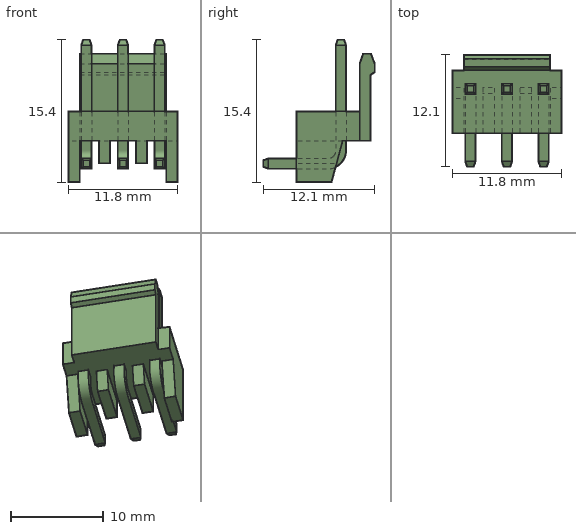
import cadquery as cq
import math


pin_count = 3
pin_pitch = 3.96
pin_size = 1.14
pin_y = 4.8
pin_z = 2.0
pin_top = 15.4
pin_reach = 3.62
bend_inner_radius = 0.86
tip_length = 0.59
tip_size = 0.71

housing_width = 11.83
housing_depth = 6.82
housing_top = 7.65
block_underside = 4.45
foot_top_depth = 4.99
foot_bottom_depth = 3.8

foot_width = 1.25
rib_width = 1.2
rib_pitch = 4.0
rib_bottom = 2.02
channel_width = housing_width - 2 * foot_width

latch_width = channel_width
latch_thickness = 1.2
latch_top = 13.9
nose_reach = 0.46
nose_top = 12.8
nose_bottom = 11.9
nose_root = 11.6
latch_top_front_inset = 0.38
latch_top_back_inset = 0.43


def centred_row(count, pitch):
    """X positions of evenly spaced items, centred on X = 0."""
    return [(index - (count - 1) / 2) * pitch for index in range(count)]


def extrude_along_x(side_outline, width):
    """Extrude a closed YZ outline to a given width, centred on X = 0."""
    return side_outline.extrude(width / 2, both=True)


def make_block():
    """Upper block with the sloping-backed lower part, before the channels are cut."""
    outline = (
        cq.Workplane("YZ")
        .moveTo(0, 0)
        .lineTo(foot_bottom_depth, 0)
        .lineTo(foot_top_depth, block_underside)
        .lineTo(housing_depth, block_underside)
        .lineTo(housing_depth, housing_top)
        .lineTo(0, housing_top)
        .close()
    )
    return extrude_along_x(outline, housing_width)


def make_channels():
    """Space between the outer feet, less the short ribs that stand between the pins."""
    channels = cq.Workplane("XY").box(
        channel_width, housing_depth, block_underside, centered=(True, False, False)
    )
    rib = (
        cq.Workplane("XY")
        .workplane(offset=rib_bottom)
        .box(rib_width, housing_depth, block_underside - rib_bottom, centered=(True, False, False))
    )
    for rib_x in centred_row(pin_count - 1, rib_pitch):
        channels = channels.cut(rib.translate((rib_x, 0, 0)))
    return channels


def make_latch():
    """Upright wall on the back of the block, with a hooked nose near its top."""
    front = housing_depth
    back = front + latch_thickness
    nose = back + nose_reach
    outline = (
        cq.Workplane("YZ")
        .moveTo(front, block_underside)
        .lineTo(back, block_underside)
        .lineTo(back, nose_root)
        .lineTo(nose, nose_bottom)
        .lineTo(nose, nose_top)
        .lineTo(nose - latch_top_back_inset, latch_top)
        .lineTo(front + latch_top_front_inset, latch_top)
        .lineTo(front, nose_top)
        .close()
    )
    return extrude_along_x(outline, latch_width)


def make_tip(base_plane):
    """Tapered square pin end, growing along the normal of base_plane."""
    return (
        cq.Workplane(base_plane)
        .rect(pin_size, pin_size)
        .workplane(offset=tip_length)
        .rect(tip_size, tip_size)
        .loft()
    )


def make_pin(center_x):
    """Square pin bent a quarter turn, with both ends tapered."""
    half = pin_size / 2
    bend_outer_radius = bend_inner_radius + pin_size
    bend_y = pin_y + half - bend_outer_radius
    bend_z = pin_z - half + bend_outer_radius
    tip_front = -pin_reach + tip_length
    tip_bottom = pin_top - tip_length
    diagonal = math.sqrt(0.5)
    outer_mid = (bend_y + bend_outer_radius * diagonal, bend_z - bend_outer_radius * diagonal)
    inner_mid = (bend_y + bend_inner_radius * diagonal, bend_z - bend_inner_radius * diagonal)

    outline = (
        cq.Workplane("YZ")
        .moveTo(tip_front, pin_z - half)
        .lineTo(bend_y, pin_z - half)
        .threePointArc(outer_mid, (pin_y + half, bend_z))
        .lineTo(pin_y + half, tip_bottom)
        .lineTo(pin_y - half, tip_bottom)
        .lineTo(pin_y - half, bend_z)
        .threePointArc(inner_mid, (bend_y, pin_z + half))
        .lineTo(tip_front, pin_z + half)
        .close()
    )
    upper_tip = make_tip(cq.Plane(origin=(0, pin_y, tip_bottom), xDir=(1, 0, 0), normal=(0, 0, 1)))
    front_tip = make_tip(cq.Plane(origin=(0, tip_front, pin_z), xDir=(1, 0, 0), normal=(0, -1, 0)))
    pin = extrude_along_x(outline, pin_size).union(upper_tip).union(front_tip)
    return pin.translate((center_x, 0, 0))


pins = [make_pin(pin_x) for pin_x in centred_row(pin_count, pin_pitch)]

housing = make_block().cut(make_channels()).union(make_latch())
for pin in pins:
    housing = housing.cut(pin)

result = cq.Compound.makeCompound([housing.solids().val(), *[pin.solids().val() for pin in pins]])